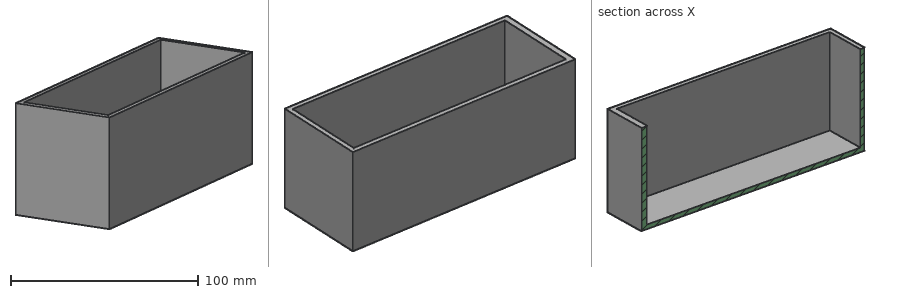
import cadquery as cq

width = 58.0
length = 153.0
height = 62.0

wall = 3.0
front_wall = 4.0
floor = wall

cavity_width = width - 2 * wall
cavity_length = length - front_wall - wall

outer = cq.Workplane("XY").box(width, length, height, centered=False)

cavity = (
    cq.Workplane("XY")
    .box(cavity_width, cavity_length, height - floor, centered=False)
    .translate((wall, front_wall, floor))
)

result = outer.cut(cavity)